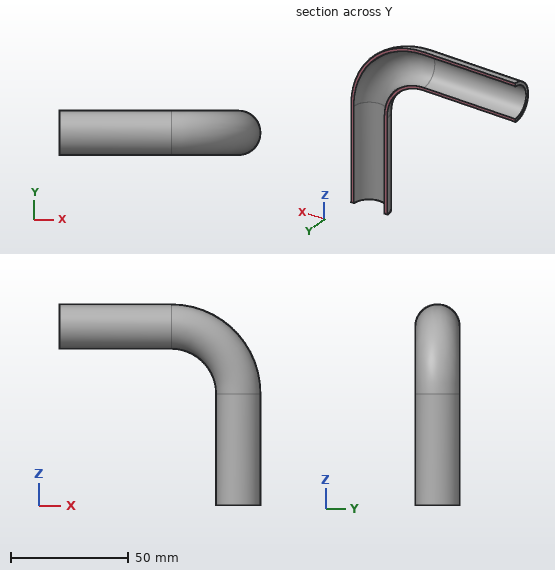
import cadquery as cq

overall_length = 85.7
outer_diameter = 19.0
inner_diameter = 15.8

bend_radius = 1.5 * outer_diameter
centreline_reach = overall_length - outer_diameter / 2
straight_length = centreline_reach - bend_radius


def straight_tube(plane):
    """Straight leg of the elbow, extruded along the normal of the plane."""
    return (
        cq.Workplane(plane)
        .circle(outer_diameter / 2)
        .circle(inner_diameter / 2)
        .extrude(straight_length)
    )


def tube_bend():
    """Quarter-turn bend joining the end of the horizontal leg to the vertical leg."""
    bend_start = cq.Plane(origin=(straight_length, 0, 0), xDir=(0, 1, 0), normal=(1, 0, 0))
    return (
        cq.Workplane(bend_start)
        .circle(outer_diameter / 2)
        .circle(inner_diameter / 2)
        .revolve(90, (0, -bend_radius), (1, -bend_radius))
    )


horizontal_end = cq.Plane(origin=(0, 0, 0), xDir=(0, 1, 0), normal=(1, 0, 0))
vertical_end = cq.Plane(
    origin=(centreline_reach, 0, -centreline_reach), xDir=(1, 0, 0), normal=(0, 0, 1)
)

result = straight_tube(horizontal_end).union(tube_bend()).union(straight_tube(vertical_end))